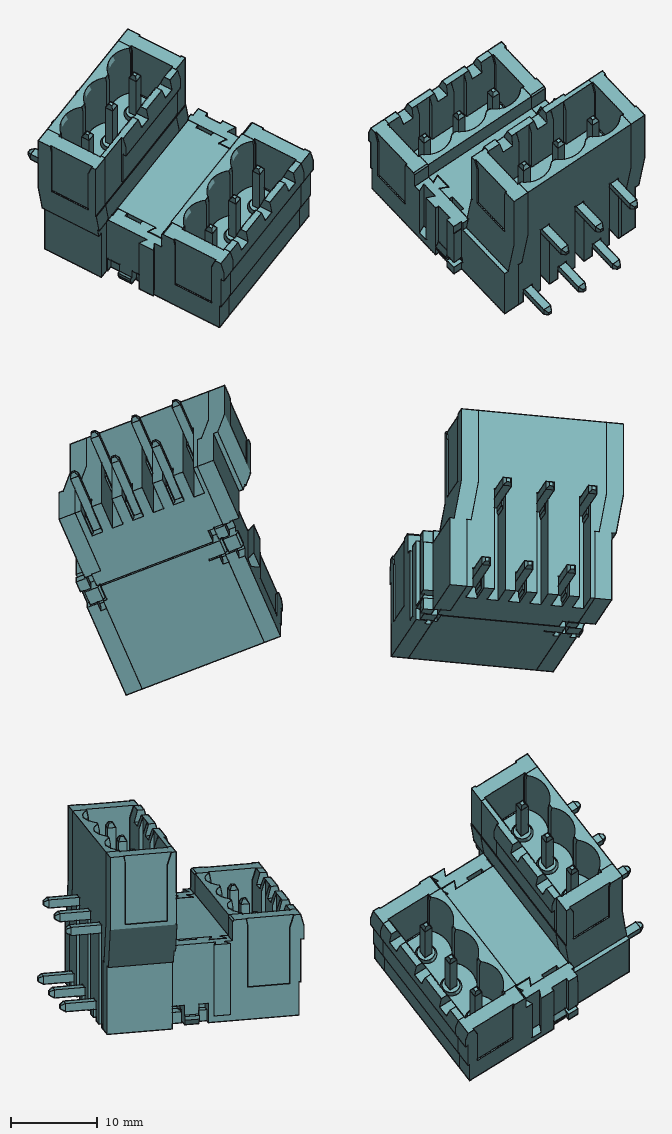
import cadquery as cq


poles = 3
pitch = 5.07
overall_width = 21.77
module_width = poles * pitch
level_shift_y = pitch / 2
plate_width = (overall_width - module_width - level_shift_y) / 2

upper_top = 22.0
level_drop = 9.75
lower_top = upper_top - level_drop
level_shift_x = 15.23
deck_top = 9.75

jog_top = 13.15
jog_bottom = 8.32
jog_shift = 0.85
base_shift = 1.4
tower_front = 7.85
jog_front = 7.93
base_front = 7.75
plate_deck_start = 8.02
plate_foot_start = 7.95

foot_front = 7.9
wall_front = 8.1
lip_front = 8.5
lip_slope_drop = 1.36
lip_drop = 3.03
wall_drop = 8.2
tower_lip_length = 11.72
plate_edge_chamfer = 0.2
plate_base_width = 0.05
plate_base_height = 0.2

cavity_depth = 8.32
cavity_rear = 1.8
cavity_rear_top = 1.65
cavity_front = 6.82
cavity_front_top = 7.3
rear_lead_depth = 0.84
front_lead_depth = 1.48
scallop_depth = 0.92
scallop_top_depth = 1.0
scallop_flat = 0.55
groove_width = 1.87
plate_recess = 0.17
notch_floor_width = 1.4
notch_top_width = 1.78
upper_notches = 2
lower_notches = 3

pin_size = 1.0
pin_tip_size = 0.45
pin_tip_length = 0.53
pin_reach = 4.12
pin_x = 3.87
pin_top_drop = 0.85
upper_pin_z = 11.97
lower_pin_z = 1.87
pin_slot_width = 1.3
pin_slot_depth = pin_x - pin_size / 2
throat_start = 1.1
throat_drop = 1.03
throat_flare = 0.42
collar_diameter = 2.5
collar_top_diameter = 2.05
collar_height = 0.42

dovetail_x = 13.73
dovetail_bottom = 1.09
dovetail_root = 1.03
dovetail_tip = 1.95
dovetail_depth = 0.92
dovetail_gap = 0.08

latch_start = 9.5
latch_end = 11.2
latch_reach = 0.28
latch_lead = 0.05
latch_top = 1.17
latch_catch = 1.09
latch_flat_bottom = 0.65
track_start = 9.27
track_end = 11.33
track_depth = 0.45
ledge_top = 2.37
ledge_outer = 1.7
relief_top = 2.37
relief_step = 1.36
relief_start = 7.85
relief_end = 12.33
relief_depth = 0.72
relief_upper_depth = plate_width - track_depth
slit_width = 0.17


def box(x0, x1, y0, y1, z0, z1):
    return cq.Workplane("XY").box(x1 - x0, y1 - y0, z1 - z0, centered=False).translate((x0, y0, z0))


def xz_prism(points, y0, y1):
    return cq.Workplane("XZ", origin=(0, y1, 0)).polyline(points).close().extrude(y1 - y0)


def yz_prism(points, x0, x1):
    return cq.Workplane("YZ", origin=(x0, 0, 0)).polyline(points).close().extrude(x1 - x0)


def pole_positions(middle_y):
    """Pole centres from +Y to -Y."""
    first = middle_y + pitch * (poles - 1) / 2
    return [first - pitch * i for i in range(poles)]



def sloped_slice(y0, y1, bottom, x0, x1):
    """Part of the jog from its top down to the given height."""
    shift = jog_shift * (jog_top - bottom) / (jog_top - jog_bottom)
    return yz_prism([(y0, jog_top), (y1, jog_top), (y1 + shift, bottom), (y0 + shift, bottom)], x0, x1)


def tower_slice(y0, y1):
    """Slice of the tower between y0 and y1 at its top, following the jog down to the base."""
    top = box(0, tower_front, y0, y1, jog_top, upper_top)
    slope = sloped_slice(y0, y1, jog_bottom, 0, base_front)
    overhang = sloped_slice(y0, y1, deck_top, base_front, jog_front)
    base = box(0, base_front, y0 + base_shift, y1 + base_shift, 0, jog_bottom)
    return top.union(slope).union(overhang).union(base)


def front_lip(rear_x, top_z):
    """Points of the front wall with its catching lip, from its lower end to the top."""
    return [
        (rear_x + wall_front, top_z - wall_drop),
        (rear_x + wall_front, top_z - lip_drop),
        (rear_x + lip_front, top_z - lip_drop),
        (rear_x + lip_front, top_z - lip_slope_drop),
        (rear_x + wall_front, top_z),
    ]


def lower_slice(start_x, y0, y1, rear_edge):
    """Slice of the deck and the lower header between y0 and y1, given its rear edge points."""
    foot_x = level_shift_x + foot_front
    outline = [(start_x, 0), (foot_x, 0), (foot_x, lower_top - wall_drop)]
    outline += front_lip(level_shift_x, lower_top)
    outline += rear_edge
    outline += [(start_x, deck_top)]
    return xz_prism(outline, y0, y1)



def cavity_prism(rear_x, top_z, y0, y1):
    """Cavity cross-section with its lead-in slopes, swept along Y."""
    outline = [
        (rear_x + cavity_rear, top_z - cavity_depth),
        (rear_x + cavity_front, top_z - cavity_depth),
        (rear_x + cavity_front, top_z - front_lead_depth),
        (rear_x + cavity_front_top, top_z),
        (rear_x + cavity_rear_top, top_z),
        (rear_x + cavity_rear, top_z - rear_lead_depth),
    ]
    return xz_prism(outline, y0, y1)


def scallop_wire(work, edge_x, depth, inner_x, middle_y):
    """Closed outline with one arc bulging to the rear per pole, and flats between the arcs."""
    half = module_width / 2
    half_arc = (pitch - scallop_flat) / 2
    work = work.moveTo(inner_x, middle_y + half).lineTo(edge_x, middle_y + half)
    for y in pole_positions(middle_y):
        work = work.lineTo(edge_x, y + half_arc)
        work = work.threePointArc((edge_x - depth, y), (edge_x, y - half_arc))
    return work.lineTo(edge_x, middle_y - half).lineTo(inner_x, middle_y - half).close()


def scallops(rear_x, top_z, middle_y):
    """Rear pole pockets of a cavity: straight below, flaring out in the lead-in at the top."""
    inner_x = rear_x + pin_x
    low_edge = rear_x + cavity_rear
    top_edge = rear_x + cavity_rear_top
    lead_z = top_z - rear_lead_depth
    straight = scallop_wire(
        cq.Workplane("XY", origin=(0, 0, top_z - cavity_depth)),
        low_edge, scallop_depth, inner_x, middle_y,
    ).extrude(cavity_depth)
    flare = scallop_wire(
        cq.Workplane("XY", origin=(0, 0, lead_z)), low_edge, scallop_depth, inner_x, middle_y
    ).workplane(offset=rear_lead_depth)
    flare = scallop_wire(flare, top_edge, scallop_top_depth, inner_x, middle_y).loft(ruled=True)
    return straight.union(flare)


def plug_cavity(rear_x, top_z, middle_y, notches):
    """Everything cut out of one header: cavity, pole pockets, front grooves and coding notches."""
    half = module_width / 2
    cutter = cavity_prism(rear_x, top_z, middle_y - half, middle_y + half)
    cutter = cutter.union(scallops(rear_x, top_z, middle_y))
    centres = pole_positions(middle_y)
    for y in centres[:-1]:
        groove_y = y - pitch / 2
        cutter = cutter.union(box(
            rear_x + pin_x, rear_x + cavity_front_top,
            groove_y - groove_width / 2, groove_y + groove_width / 2,
            top_z - cavity_depth, top_z,
        ))
    for y in centres[:notches]:
        cutter = cutter.union(yz_prism(
            [
                (y - notch_floor_width / 2, top_z - lip_slope_drop),
                (y + notch_floor_width / 2, top_z - lip_slope_drop),
                (y + notch_top_width / 2, top_z),
                (y - notch_top_width / 2, top_z),
            ],
            rear_x + pin_x, rear_x + lip_front,
        ))
    return cutter



def pin(plane, start, length):
    """Square pin from its start point along the plane normal, with a pyramid tip."""
    shaft = cq.Workplane(plane, origin=start).rect(pin_size, pin_size).extrude(length - pin_tip_length)
    tip = (
        cq.Workplane(plane, origin=start)
        .workplane(offset=length - pin_tip_length).rect(pin_size, pin_size)
        .workplane(offset=pin_tip_length).rect(pin_tip_size, pin_tip_size)
        .loft(ruled=True)
    )
    return shaft.union(tip)


def contact(rear_x, top_z, y):
    """Upright contact with its conical collar on the cavity floor."""
    floor_z = top_z - cavity_depth
    collar = (
        cq.Workplane("XY", origin=(rear_x + pin_x, y, floor_z)).circle(collar_diameter / 2)
        .workplane(offset=collar_height).circle(collar_top_diameter / 2)
        .loft(ruled=True)
    )
    return pin("XY", (rear_x + pin_x, y, floor_z), cavity_depth - pin_top_drop).union(collar)


def board_pin_slot(y, pin_z):
    """Slot in the rear face, from the top of a board pin down to the board side.

    Its inner part narrows to a throat that holds the pin, and flares out again below it.
    """
    half_slot = pin_slot_width / 2
    half_pin = pin_size / 2
    top_z = pin_z + half_pin
    flare_top = pin_z - throat_drop
    flare_bottom = flare_top - throat_flare
    mouth = box(0, throat_start, y - half_slot, y + half_slot, 0, top_z)
    throat = yz_prism(
        [
            (y - half_slot, 0), (y + half_slot, 0),
            (y + half_slot, flare_bottom), (y + half_pin, flare_top), (y + half_pin, top_z),
            (y - half_pin, top_z), (y - half_pin, flare_top), (y - half_slot, flare_bottom),
        ],
        throat_start, pin_slot_depth,
    )
    return mouth.union(throat)


def board_pin(y, pin_z):
    back_plane = cq.Plane(origin=(pin_slot_depth, y, pin_z), xDir=(0, 1, 0), normal=(-1, 0, 0))
    return pin(back_plane, (pin_slot_depth, y, pin_z), pin_slot_depth + pin_reach)



def dovetail(face_y, gap):
    root = dovetail_root / 2 + gap
    tip = dovetail_tip / 2 + gap
    tip_y = face_y - dovetail_depth - gap
    return (
        cq.Workplane("XY", origin=(dovetail_x, 0, dovetail_bottom))
        .polyline([(-root, face_y), (root, face_y), (tip, tip_y), (-tip, tip_y)]).close()
        .extrude(deck_top - dovetail_bottom)
    )


def latch_hook(face_y):
    profile = [
        (face_y, 0), (face_y, latch_top),
        (face_y - latch_reach, latch_catch),
        (face_y - latch_reach, latch_flat_bottom),
        (face_y - latch_lead, 0),
    ]
    return yz_prism(profile, latch_start, latch_end)


def latch_track(face_y):
    """Track that guides a hook down over a sloping ledge into its pocket."""
    floor_y = face_y - track_depth
    guide = yz_prism(
        [(floor_y, deck_top), (face_y, deck_top), (face_y, ledge_outer), (floor_y, ledge_top)],
        track_start, track_end,
    )
    return guide.union(box(track_start, track_end, floor_y, face_y, 0, relief_step))


def latch_relief(face_y, upper_depth_left):
    """Gaps on both sides of the latch in the -Y face, deeper above the step, and slits beside it."""
    cutter = box(relief_start, relief_end, face_y, face_y + relief_depth, 0, relief_top)
    cutter = cutter.cut(box(latch_start, latch_end, face_y, face_y + relief_depth, 0, relief_top))
    for x0, x1, depth in (
        (relief_start, latch_start, upper_depth_left),
        (latch_end, relief_end, relief_upper_depth),
    ):
        cutter = cutter.union(box(x0, x1, face_y, face_y + depth, relief_step, relief_top))
    for x in (latch_start - slit_width, latch_end):
        cutter = cutter.union(box(x, x + slit_width, face_y, face_y + plate_width, 0, relief_step))
    return cutter


def add_joints(body, y0, y1, upper_depth_left):
    """Gives a body between y0 and y1 its tail and hook at y0, its socket and track at y1."""
    body = body.cut(dovetail(y1, dovetail_gap))
    body = body.cut(latch_track(y1))
    body = body.cut(latch_relief(y0, upper_depth_left))
    return body.union(dovetail(y0, 0)).union(latch_hook(y0))



def make_main_body():
    half = module_width / 2
    low_y = level_shift_y - half
    high_y = level_shift_y + half

    rear_edge = [(level_shift_x, lower_top), (level_shift_x, deck_top)]

    body = tower_slice(-half, half)
    body = body.union(lower_slice(base_front, low_y, high_y, rear_edge))
    lip_outline = front_lip(0, upper_top)
    lip_outline += [(cavity_front, upper_top), (cavity_front, upper_top - wall_drop)]
    body = body.union(xz_prism(lip_outline, half - tower_lip_length, half))

    body = body.cut(plug_cavity(0, upper_top, 0, upper_notches))
    body = body.cut(plug_cavity(level_shift_x, lower_top, level_shift_y, lower_notches))
    body = add_joints(body, low_y, high_y, relief_upper_depth)
    body = body.cut(box(latch_start - slit_width, latch_start, low_y, high_y, 0, relief_step))

    for rear_x, top_z, middle_y, pin_z in (
        (0, upper_top, 0, upper_pin_z),
        (level_shift_x, lower_top, level_shift_y, lower_pin_z),
    ):
        for y in pole_positions(middle_y):
            body = body.cut(board_pin_slot(y, pin_z))
            body = body.union(board_pin(y, pin_z))
            body = body.union(contact(rear_x, top_z, y))
    return body



def make_end_plate(high_y):
    """End plate whose +Y face lies at high_y in the upper level."""
    low_y = high_y - plate_width
    lower_high_y = high_y + level_shift_y
    lower_low_y = low_y + level_shift_y

    plate = tower_slice(low_y, high_y)
    rear_edge = [
        (level_shift_x + plate_edge_chamfer, lower_top),
        (level_shift_x, lower_top - plate_edge_chamfer),
        (level_shift_x, deck_top + plate_base_height),
        (level_shift_x - plate_base_width, deck_top),
    ]
    plate = plate.union(lower_slice(plate_deck_start, lower_low_y, lower_high_y, rear_edge))
    plate = plate.union(box(plate_foot_start, plate_deck_start, lower_low_y, lower_high_y, 0, jog_bottom))
    bridge = box(base_front, plate_deck_start, lower_low_y, high_y + base_shift, 0, deck_top)
    plate = plate.union(bridge)

    for rear_x, top_z, y0, y1 in (
        (0, upper_top, low_y, high_y),
        (level_shift_x, lower_top, lower_low_y, lower_high_y),
    ):
        plate = plate.cut(cavity_prism(rear_x, top_z, y0, y0 + plate_recess))
        plate = plate.cut(cavity_prism(rear_x, top_z, y1 - plate_recess, y1))

    return add_joints(plate, lower_low_y, lower_high_y, plate_width)


main_body = make_main_body()
end_plates = [
    make_end_plate(high_y) for high_y in (-module_width / 2, module_width / 2 + plate_width)
]
result = cq.Compound.makeCompound([main_body.val(), *[plate.val() for plate in end_plates]])